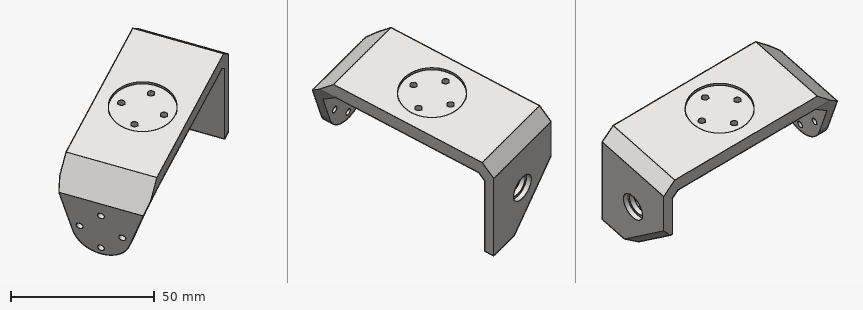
import cadquery as cq
import math

width = 34.0
length = 79.0
height = 44.0
plate_thickness = 6.0
leg_thickness = 3.95
half_width = width / 2
front_y = -length / 2
back_y = length / 2

front_outer_bevel = 10.0
front_inner_bevel = 7.0
back_outer_bevel = 5.0
back_inner_bevel = 2.5

axis_z = -24.0
front_leg_radius = 11.05

hole_diameter = 2.5
hole_circle_radius = 8.0
recess_diameter = 24.0
recess_depth = 1.0
recess_y = 0.55

bearing_diameter = 10.5
bearing_depth = 2.0
bore_diameter = 8.5

corner_cut = 17.45
corner_bevel = 3.0


def make_bent_strip():
    """Side profile of the plate and both legs, extruded across the full width."""
    inner_front = front_y + leg_thickness
    inner_back = back_y - leg_thickness
    profile = [
        (front_y, -height),
        (front_y, -front_outer_bevel),
        (front_y + front_outer_bevel, 0),
        (back_y - back_outer_bevel, 0),
        (back_y, -back_outer_bevel),
        (back_y, -height),
        (inner_back, -height),
        (inner_back, -plate_thickness - back_inner_bevel),
        (inner_back - back_inner_bevel, -plate_thickness),
        (inner_front + front_inner_bevel, -plate_thickness),
        (inner_front, -plate_thickness - front_inner_bevel),
        (inner_front, -height),
    ]
    return cq.Workplane("YZ").polyline(profile).close().extrude(half_width, both=True)


def trim_front_leg(body):
    """Taper the front leg from the plate's underside into its tangent round end."""
    drop = -plate_thickness - axis_z
    corner_distance = math.hypot(half_width, drop)
    tangent_angle = math.atan2(drop, half_width) - math.acos(front_leg_radius / corner_distance)
    tangent_x = front_leg_radius * math.cos(tangent_angle)
    tangent_z = axis_z + front_leg_radius * math.sin(tangent_angle)
    outline = (
        cq.Workplane("XZ")
        .moveTo(-half_width, 0)
        .lineTo(half_width, 0)
        .lineTo(half_width, -plate_thickness)
        .lineTo(tangent_x, tangent_z)
        .threePointArc((0, axis_z - front_leg_radius), (-tangent_x, tangent_z))
        .lineTo(-half_width, -plate_thickness)
        .close()
        .extrude(length / 2)
    )
    back_half = cq.Workplane("XY").box(
        width, length / 2, height, centered=(True, False, False)
    ).translate((0, 0, -height))
    return body.intersect(outline.union(back_half))


def corner_prism(leg_size, start_y, depth):
    """Triangular prism at the lower -X corner, running toward +Y."""
    return (
        cq.Workplane("XZ", origin=(-half_width, start_y, -height))
        .polyline([(0, 0), (leg_size, 0), (0, leg_size)])
        .close()
        .extrude(-depth)
    )


def cut_back_corner(body):
    """Cut the back leg's lower corner at 45 degrees and bevel the cut's outer edge."""
    body = body.cut(corner_prism(corner_cut, back_y - leg_thickness, leg_thickness))
    outer_edge = cq.selectors.NearestToPointSelector(
        (-half_width + corner_cut / 2, back_y, -height + corner_cut / 2)
    )
    return body.edges(outer_edge).chamfer(corner_bevel)


def cut_plate_mount(body):
    """Cut the shallow round recess and its four through holes in the plate."""
    recess_plane = cq.Workplane("XY", origin=(0, recess_y, 0))
    recess = recess_plane.circle(recess_diameter / 2).extrude(-recess_depth)
    holes = (
        recess_plane.polarArray(hole_circle_radius, 0, 360, 4)
        .circle(hole_diameter / 2)
        .extrude(-plate_thickness)
    )
    return body.cut(recess).cut(holes)


def cut_front_mount(body):
    """Cut four through holes in the front leg."""
    holes = (
        cq.Workplane("XZ", origin=(0, front_y, axis_z))
        .polarArray(hole_circle_radius, 0, 360, 4)
        .circle(hole_diameter / 2)
        .extrude(-leg_thickness)
    )
    return body.cut(holes)


def cut_bearing_hole(body):
    """Cut the stepped hole in the back leg, wider on the outer face."""
    outer_face = cq.Workplane("XZ", origin=(0, back_y, axis_z))
    bearing = outer_face.circle(bearing_diameter / 2).extrude(bearing_depth)
    bore = outer_face.circle(bore_diameter / 2).extrude(leg_thickness)
    return body.cut(bearing).cut(bore)


result = make_bent_strip()
result = trim_front_leg(result)
result = cut_back_corner(result)
result = cut_plate_mount(result)
result = cut_front_mount(result)
result = cut_bearing_hole(result)